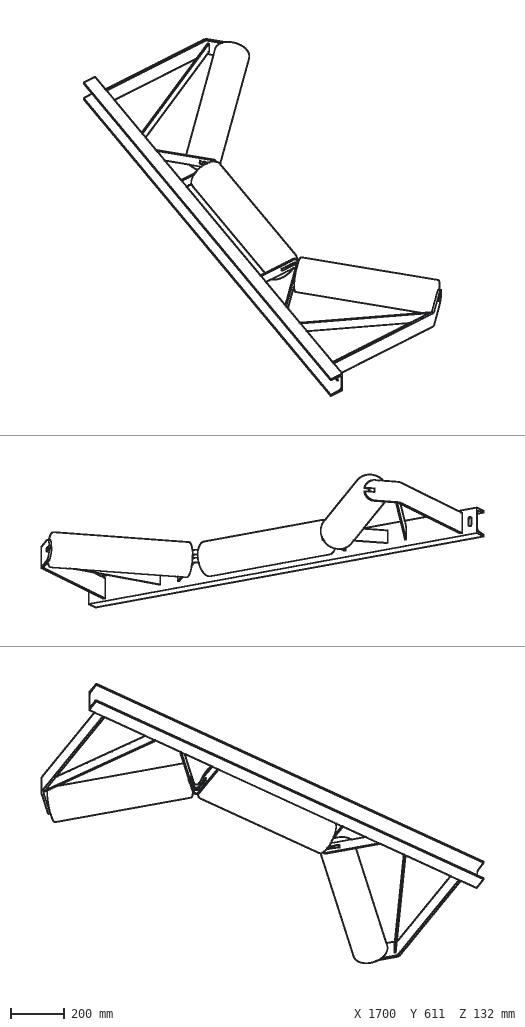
import cadquery as cq
import math


ROOT2 = math.sqrt(2)

beam_length = 1700.0
beam_height = 100.0
flange_depth = 51.0
flange_tip_thickness = 7.0
flange_root_thickness = 10.0
flange_root_radius = 8.0
web_thickness = 5.0
mount_slot_width = 14.0
mount_slot_height = 35.0
mount_slot_inset = 30.0

roller_radius = 66.0
roller_length = 530.0
roller_edge_radius = 5.0
shaft_diameter = 20.0
shaft_flat_width = 14.0
middle_roller_y = 114.0
wing_roller_x = 513.0
wing_roller_y = 328.0
wing_angle = 45.0

bracket_gap = 5.0
shaft_overhang = 2.0
outer_width = 80.0
outer_thickness = 8.0
outer_face_x = 785.0
outer_bend_radius = 10.0
outer_tip = 29.0
inner_width = 50.0
inner_thickness = 5.0
inner_bend_radius = 8.0
brace_width = 50.0
brace_thickness = 5.0
brace_foot_x = 535.0
brace_top_x = 768.0

wing_axis_distance = (wing_roller_x + wing_roller_y) / ROOT2
wing_cross_distance = (wing_roller_y - wing_roller_x) / ROOT2
outer_leg_inner = wing_axis_distance + roller_length / 2 + bracket_gap
outer_leg_outer = outer_leg_inner + outer_thickness
inner_leg_upper = wing_axis_distance - roller_length / 2 - bracket_gap
inner_leg_lower = inner_leg_upper - inner_thickness
inner_post_inner_x = roller_length / 2 + bracket_gap
inner_post_outer_x = inner_post_inner_x + inner_thickness


def left_point(axis_distance, cross_distance):
    """XY point of the left wing, from distances along and across its roller axis."""
    return (
        (cross_distance - axis_distance) / ROOT2,
        (cross_distance + axis_distance) / ROOT2,
    )


def place_left_wing(body):
    """Move a body built along X at the origin onto the left wing roller's axis."""
    return body.rotate((0, 0, 0), (0, 0, 1), -wing_angle).translate((-wing_roller_x, wing_roller_y, 0))


def slant_face_y(axis_distance, x):
    """Y at which a left-hand 45 degree leg face crosses the given X."""
    return x + axis_distance * ROOT2


def extrude_plate(points, width):
    return cq.Workplane("XY").polyline(points).close().extrude(width / 2, both=True)


def bend_edge(x, y):
    """Selector for the upright edge at a bend corner."""
    margin = 0.8
    low = (x - margin, y - margin, -margin)
    high = (x + margin, y + margin, margin)
    return cq.selectors.BoxSelector(low, high)


def make_beam():
    """Channel with tapered flanges pointing to -Y and a mounting slot near each end of its web."""
    half_height = beam_height / 2
    tip_half = half_height - flange_tip_thickness
    root_half = half_height - flange_root_thickness
    margin = 0.8
    web_inner_face = cq.selectors.BoxSelector(
        (-beam_length / 2, -web_thickness - margin, -half_height),
        (beam_length / 2, -web_thickness + margin, half_height),
    )
    beam = (
        cq.Workplane("YZ", origin=(-beam_length / 2, 0, 0))
        .polyline(
            [
                (0, -half_height),
                (0, half_height),
                (-flange_depth, half_height),
                (-flange_depth, tip_half),
                (-web_thickness, root_half),
                (-web_thickness, -root_half),
                (-flange_depth, -tip_half),
                (-flange_depth, -half_height),
            ]
        )
        .close()
        .extrude(beam_length)
        .edges("|X")
        .edges(web_inner_face)
        .fillet(flange_root_radius)
    )
    slot_x = beam_length / 2 - mount_slot_inset
    slots = (
        cq.Workplane("XZ")
        .pushPoints([(-slot_x, 0), (slot_x, 0)])
        .slot2D(mount_slot_height, mount_slot_width, 90)
        .extrude(web_thickness)
    )
    return beam.cut(slots)


def make_roller(left_shaft, right_shaft):
    """Roller along X, centred on the origin; its shaft ends stick out by the given lengths."""
    drum = (
        cq.Workplane("YZ", origin=(-roller_length / 2, 0, 0))
        .circle(roller_radius)
        .extrude(roller_length)
        .edges()
        .fillet(roller_edge_radius)
    )
    return drum.union(make_shaft_end(left_shaft).mirror("YZ")).union(make_shaft_end(right_shaft))


def make_shaft_end(length):
    """Shaft end on the right of a roller at the origin, flattened above and below."""
    start = cq.Workplane("YZ", origin=(roller_length / 2, 0, 0))
    return start.circle(shaft_diameter / 2).extrude(length).intersect(
        start.rect(shaft_diameter, shaft_flat_width).extrude(length)
    )


def make_outer_bracket():
    """Left outer bracket: upright post with a 45 degree leg, slotted from its round tip."""
    inner_face_x = -outer_face_x + outer_thickness
    tip = wing_cross_distance + outer_tip
    outer_bend = (-outer_face_x, slant_face_y(outer_leg_outer, -outer_face_x))
    inner_bend = (inner_face_x, slant_face_y(outer_leg_inner, inner_face_x))
    plate = extrude_plate(
        [
            (-outer_face_x, 0),
            outer_bend,
            left_point(outer_leg_outer, tip),
            left_point(outer_leg_inner, tip),
            inner_bend,
            (inner_face_x, 0),
        ],
        outer_width,
    )
    plate = plate.edges(bend_edge(*inner_bend)).fillet(outer_bend_radius)
    plate = plate.edges(bend_edge(*outer_bend)).fillet(outer_bend_radius + outer_thickness)
    return plate.cut(make_tip_trim()).cut(make_tip_slot())


def make_tip_trim():
    """Everything outside the half-round tip, built along the roller axis."""
    tip_radius = outer_width / 2
    blank = cq.Workplane("YZ").rect(2 * tip_radius, 2 * outer_width).extrude(2 * outer_thickness)
    blank = blank.translate((0, tip_radius, 0))
    disc = cq.Workplane("YZ").circle(tip_radius).extrude(2 * outer_thickness)
    trim = blank.cut(disc).translate((-roller_length / 2 - 2 * outer_thickness, outer_tip - tip_radius, 0))
    return place_left_wing(trim)


def make_tip_slot():
    slot_length = outer_tip + shaft_diameter / 2
    slot = (
        cq.Workplane("XY")
        .box(2 * outer_thickness, slot_length, shaft_flat_width)
        .translate((-roller_length / 2 - outer_thickness, (outer_tip - shaft_diameter / 2) / 2, 0))
    )
    return place_left_wing(slot)


def make_inner_bracket():
    """Left inner bracket: upright post folded into a 45 degree leg, slotted across the fold."""
    foot_upper_x = -inner_leg_upper * ROOT2
    foot_lower_x = -inner_leg_lower * ROOT2
    outer_bend = (-inner_post_inner_x, slant_face_y(inner_leg_upper, -inner_post_inner_x))
    inner_bend = (-inner_post_outer_x, slant_face_y(inner_leg_lower, -inner_post_outer_x))
    plate = extrude_plate(
        [
            (-inner_post_inner_x, 0),
            outer_bend,
            (foot_upper_x, 0),
            (foot_lower_x, 0),
            inner_bend,
            (-inner_post_outer_x, 0),
        ],
        inner_width,
    )
    plate = plate.edges(bend_edge(*inner_bend)).fillet(inner_bend_radius)
    plate = plate.edges(bend_edge(*outer_bend)).fillet(inner_bend_radius + inner_thickness)
    return plate.cut(make_fold_slot())


def make_fold_slot():
    """Slot across the fold, down to the undersides of the two shafts that rest in it."""
    seat_drop = shaft_diameter / 2
    wing_seat = wing_cross_distance - seat_drop
    middle_seat = middle_roller_y - seat_drop
    post_side_x = -roller_length / 2
    fold_top = slant_face_y(inner_leg_upper, post_side_x)
    return extrude_plate(
        [
            left_point(inner_leg_lower, wing_seat),
            left_point(inner_leg_upper, wing_seat),
            (post_side_x, fold_top),
            (post_side_x, middle_seat),
            (-inner_post_outer_x, middle_seat),
        ],
        shaft_flat_width,
    )


def make_brace():
    """Left brace: flat bar from the beam up to the underside of the outer bracket's leg."""
    top_y = slant_face_y(outer_leg_inner, -brace_top_x)
    run = brace_top_x - brace_foot_x
    slope = top_y / run
    foot_length = brace_thickness * math.hypot(run, top_y) / top_y
    lower_foot_x = -brace_foot_x - foot_length
    lower_top_x = (slope * lower_foot_x - outer_leg_inner * ROOT2) / (slope + 1)
    return extrude_plate(
        [
            (-brace_foot_x, 0),
            (-brace_top_x, top_y),
            (lower_top_x, slant_face_y(outer_leg_inner, lower_top_x)),
            (lower_foot_x, 0),
        ],
        brace_width,
    )


beam = make_beam()

outer_shaft = bracket_gap + outer_thickness + shaft_overhang
inner_shaft = bracket_gap + inner_thickness + shaft_overhang
middle_shaft = bracket_gap + inner_thickness
middle_roller = make_roller(middle_shaft, middle_shaft).translate((0, middle_roller_y, 0))
left_wing_bodies = [
    make_outer_bracket(),
    make_brace(),
    make_inner_bracket(),
    place_left_wing(make_roller(outer_shaft, inner_shaft)),
]

bodies = [beam.solids().val(), middle_roller.solids().val()]
for body in left_wing_bodies:
    bodies.append(body.solids().val())
    bodies.append(body.mirror("YZ").solids().val())

result = cq.Compound.makeCompound(bodies)